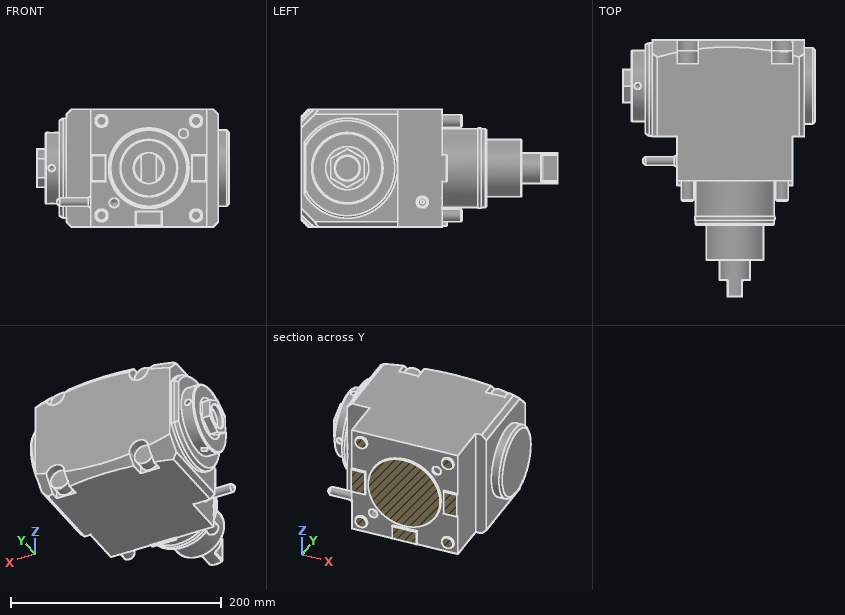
import cadquery as cq
import math


height = 112.0
half_height = height / 2
front_width = 110.0
front_depth = 42.0
back_y = 134.0
rear_left = -78.3
rear_right = 66.1
rear_width = rear_right - rear_left
rear_middle = (rear_left + rear_right) / 2
side_chamfer = 5.0
back_relief_middle = 5.0
back_relief_end = 12.7
back_relief_reach = 29.3

sleeve_radius = 37.5
sleeve_end = 42.5
sleeve_chamfer = 1.5
ring_start = 33.7
ring_end = 37.3
ring_bulge = 0.7
collar_radius = 27.3
collar_end = 75.6
collar_chamfer = 0.7
shaft_radius = 14.6
tang_start = 94.7
tang_thickness = 14.2
tang_root_radius = 1.2
tang_edge_chamfer = 0.7
shaft_end = 110.0

screw_spacing = 89.8
screw_radius = 6.0
screw_length = 19.3
screw_chamfer = 1.5
head_radius = 10.0
head_length = 12.5
head_recess = 10.5

key_length = 25.4
key_inner = 40.7
key_outer = front_width / 2
key_height = 5.0
key_chamfer = 0.7

face_hole_offset = 33.0
face_hole_diameter = 9.0
plain_hole_depth = 1.5
drilled_hole_depth = 9.8
drill_point_angle = 118

pin_y = 18.8
pin_z = -32.2
pin_radius = 4.1
pin_tip_x = -87.4
pin_tip_radius = 1.7
pin_tip_length = 2.7
pin_foot_radius = 5.5
pin_foot_length = 2.7

spindle_y = 90.0
flange_radius = 47.5
flange_x = -85.2
flange_chamfer_length = 3.7
flange_chamfer_depth = 2.5
flange_flat_y = 131.0
flange_flat_chamfer = 1.7
nut_radius = 34.0
nut_x = -98.3
nut_chamfer = 1.0
nut_hole_x = -92.2
nut_hole_diameter = 6.3
nut_hole_depth = 6.0
nut_hole_count = 4
cover_radius = 36.4
cover_x = 76.4
cover_chamfer = 2.5

spindle_radius = 20.5
hex_flats = 31.7
hex_x = -106.5
bore_radius = 11.5
bore_depth = 6.0
bore_chamfer = 0.7


def x_disc(radius, start, end):
    """Cylinder on the spindle axis between two x positions."""
    return (
        cq.Workplane("YZ", origin=(start, spindle_y, 0))
        .circle(radius)
        .extrude(end - start)
    )


def drill_profile(diameter, depth):
    """Solid of a drilled hole along +Z from the origin, with a conical point."""
    radius = diameter / 2
    point = radius / math.tan(math.radians(drill_point_angle / 2))
    return (
        cq.Workplane("XZ")
        .polyline([(0, 0), (radius, 0), (radius, depth), (0, depth + point)])
        .close()
        .revolve(360, (0, 0), (0, 1))
    )


def back_bevel():
    """Curved 45 degree cut along the upper back edge."""
    slope = cq.Plane(origin=(rear_middle, back_y, half_height), xDir=(1, 0, 0), normal=(0, 1, -1))
    half = rear_width / 2
    return (
        cq.Workplane(slope)
        .moveTo(-half, back_relief_end)
        .threePointArc((0, back_relief_middle), (half, back_relief_end))
        .lineTo(half, -back_relief_end)
        .lineTo(-half, -back_relief_end)
        .close()
        .extrude(back_relief_reach, both=True)
    )


def blocks():
    """Wide rear block with bevelled edges and the narrower front block."""
    rear_depth = back_y - front_depth
    rear = (
        cq.Workplane("XY")
        .box(rear_width, rear_depth, height)
        .edges("|Y")
        .chamfer(side_chamfer)
        .translate((rear_middle, front_depth + rear_depth / 2, 0))
    )
    front = (
        cq.Workplane("XZ")
        .rect(front_width, height)
        .extrude(-front_depth - rear_depth / 2)
    )
    bevel = back_bevel()
    return rear.union(front).cut(bevel).cut(bevel.mirror("XY"))


def tang_flat():
    """Cutter for the +X flat of the tang, with a rounded root."""
    length = shaft_end - tang_start
    return (
        cq.Workplane("XY")
        .box(shaft_radius, length, 2 * shaft_radius)
        .edges("<X and >Y")
        .fillet(tang_root_radius)
        .translate(((tang_thickness + shaft_radius) / 2, -tang_start - length / 2, 0))
    )


def drive_shaft():
    """Stepped sleeve with sealing ring, collar and flatted drive tang."""
    ring_middle = (ring_start + ring_end) / 2
    turned = (
        cq.Workplane("XY")
        .moveTo(0, 0)
        .lineTo(sleeve_radius, 0)
        .lineTo(sleeve_radius, -ring_start)
        .threePointArc((sleeve_radius + ring_bulge, -ring_middle), (sleeve_radius, -ring_end))
        .lineTo(sleeve_radius, -sleeve_end + sleeve_chamfer)
        .lineTo(sleeve_radius - sleeve_chamfer, -sleeve_end)
        .lineTo(collar_radius, -sleeve_end)
        .lineTo(collar_radius, -collar_end + collar_chamfer)
        .lineTo(collar_radius - collar_chamfer, -collar_end)
        .lineTo(shaft_radius, -collar_end)
        .lineTo(shaft_radius, -shaft_end)
        .lineTo(0, -shaft_end)
        .close()
        .revolve(360, (0, 0), (0, 1))
    )
    flat = tang_flat()
    shaft = turned.cut(flat).cut(flat.mirror("YZ"))
    tang_sides = cq.selectors.BoxSelector(
        (-tang_thickness, -shaft_end, -shaft_radius),
        (tang_thickness, -tang_start - tang_root_radius, shaft_radius),
    )
    return shaft.edges("|Y").edges(tang_sides).chamfer(tang_edge_chamfer)


def screw_pocket():
    """Space behind a screw head, open to the back and to the nearer side (+Z)."""
    pocket_depth = head_recess + head_length
    bore = cq.Workplane("XZ", origin=(0, back_y, 0)).circle(head_radius).extrude(pocket_depth)
    opening = (
        cq.Workplane("XY")
        .box(2 * head_radius, pocket_depth, 2 * head_radius, centered=(True, False, False))
        .translate((0, back_y - pocket_depth, 0))
    )
    head_y = back_y - head_recess
    head = cq.Workplane("XZ", origin=(0, head_y, 0)).circle(head_radius).extrude(head_length)
    return bore.union(opening).cut(head)


def screw_end():
    """Threaded end of a screw, standing out of the mounting face."""
    return cq.Workplane("XZ").circle(screw_radius).extrude(screw_length).faces("<Y").chamfer(screw_chamfer)


def add_screws(body):
    """Four clamping screws in a square, their heads sunk in open pockets at the back."""
    offset = screw_spacing / 2
    for x in (-offset, offset):
        upper_pocket = screw_pocket().translate((x, 0, offset))
        body = body.cut(upper_pocket).cut(upper_pocket.mirror("XY"))
        for z in (-offset, offset):
            body = body.union(screw_end().translate((x, 0, z)))
    return body


def add_keys(body):
    """Three locating keys around the sleeve: left, right and bottom."""
    key_width = key_outer - key_inner
    key = (
        cq.Workplane("XZ", origin=((key_inner + key_outer) / 2, 0, 0))
        .rect(key_width, key_length)
        .extrude(key_height)
        .faces("<Y")
        .chamfer(key_chamfer)
    )
    for angle in (0, 90, 180):
        body = body.union(key.rotate((0, 0, 0), (0, 1, 0), angle))
    return body


def cut_face_holes(body):
    """Shallow flat hole at upper right and drilled hole at lower left of the mounting face."""
    plain = (
        cq.Workplane("XZ")
        .center(face_hole_offset, face_hole_offset)
        .circle(face_hole_diameter / 2)
        .extrude(-plain_hole_depth)
    )
    drilled = (
        drill_profile(face_hole_diameter, drilled_hole_depth)
        .rotate((0, 0, 0), (1, 0, 0), -90)
        .translate((-face_hole_offset, 0, -face_hole_offset))
    )
    return body.cut(plain).cut(drilled)


def coolant_pin():
    """Pin with a conical foot and a tapered tip, standing out to -X from the front block."""
    foot_x = -front_width / 2
    shank_end = pin_tip_x + pin_tip_length
    return (
        cq.Workplane("XY")
        .moveTo(foot_x, 0)
        .lineTo(foot_x, pin_foot_radius)
        .lineTo(foot_x - pin_foot_length, pin_radius)
        .lineTo(shank_end, pin_radius)
        .lineTo(pin_tip_x, pin_tip_radius)
        .lineTo(pin_tip_x, 0)
        .close()
        .revolve(360, (0, 0), (1, 0))
        .translate((0, pin_y, pin_z))
    )


def flange():
    """Bevelled disc on the left side, flattened towards the back."""
    disc = (
        x_disc(flange_radius, flange_x, rear_left)
        .faces("<X")
        .chamfer(flange_chamfer_length, flange_chamfer_depth)
    )
    beyond_flat = (
        cq.Workplane("XY")
        .box(2 * flange_radius, flange_radius, 2 * flange_radius, centered=(True, False, True))
        .translate((flange_x, flange_flat_y, 0))
    )
    flattened = disc.cut(beyond_flat)
    return flattened.faces("<X").edges(">Y").chamfer(flange_chamfer_length, flange_flat_chamfer)


def clamping_nut():
    """Round nut with radial spanner holes and the seat for the spindle."""
    nut = x_disc(nut_radius, nut_x, flange_x).faces("<X").chamfer(nut_chamfer)
    seat = x_disc(spindle_radius, nut_x, flange_x)
    spanner_hole = (
        drill_profile(nut_hole_diameter, nut_hole_depth)
        .mirror("XY")
        .translate((nut_hole_x, spindle_y, nut_radius))
    )
    for number in range(nut_hole_count):
        angle = 360 / nut_hole_count * number
        nut = nut.cut(spanner_hole.rotate((0, spindle_y, 0), (1, spindle_y, 0), angle))
    return nut.cut(seat)


def make_housing():
    """Blocks, drive shaft, screws, keys, pin, cover, flange and nut as one solid."""
    body = add_screws(blocks())
    body = add_keys(body.union(drive_shaft()))
    body = cut_face_holes(body).union(coolant_pin())
    cover = x_disc(cover_radius, rear_right, cover_x).faces(">X").chamfer(cover_chamfer)
    return body.union(cover).union(flange()).union(clamping_nut())


def make_spindle():
    """Round seat flush with the nut, carrying a hexagon with a blind bore."""
    seat = x_disc(spindle_radius, nut_x, flange_x)
    corner_diameter = hex_flats / math.cos(math.pi / 6)
    hexagon = (
        cq.Workplane("YZ", origin=(hex_x, spindle_y, 0))
        .transformed(rotate=(0, 0, 90))
        .polygon(6, corner_diameter)
        .extrude(nut_x - hex_x)
    )
    bore = x_disc(bore_radius, hex_x, hex_x + bore_depth)
    bored = seat.union(hexagon).cut(bore)
    return bored.faces("<X").edges("%CIRCLE").chamfer(bore_chamfer)


housing = make_housing()
spindle = make_spindle()
result = cq.Compound.makeCompound([housing.val(), spindle.val()])